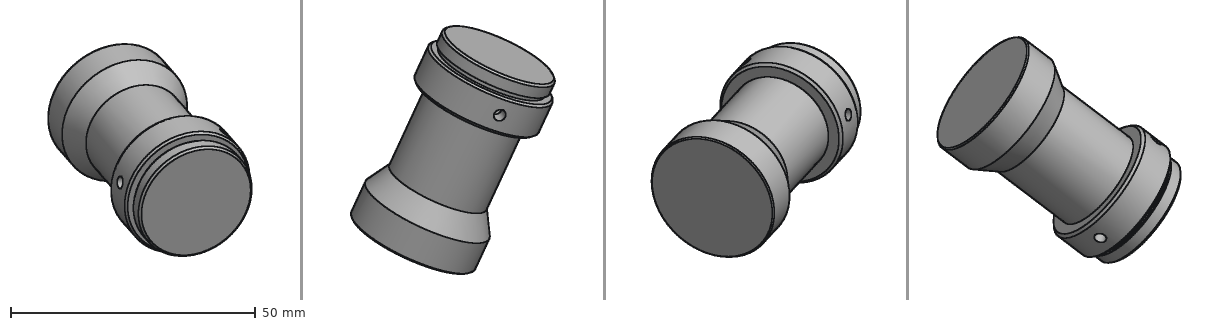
import cadquery as cq
import math

length = 43.8
outer_radius = 14.0
neck_radius = 11.0
flange_radius = 12.7
groove_radius = 12.0

head_end = 7.45
cone_end = 12.75
collar_start = 31.75
collar_end = 39.75
flange_start = 40.78

head_chamfer = 0.3
collar_front_chamfer = 0.6
edge_chamfer = 0.5

hole_position = 35.87
hole_diameter = 2.5
hole_count = 3
first_hole_angle = 45.0
hole_depth = 3.5
drill_point_angle = 118.0


def turned_body():
    """Revolve the half profile (axial position, radius) about the X axis."""
    profile = [
        (0, 0),
        (0, outer_radius - head_chamfer),
        (head_chamfer, outer_radius),
        (head_end, outer_radius),
        (cone_end, neck_radius),
        (collar_start, neck_radius),
        (collar_start, outer_radius - collar_front_chamfer),
        (collar_start + collar_front_chamfer, outer_radius),
        (collar_end - edge_chamfer, outer_radius),
        (collar_end, outer_radius - edge_chamfer),
        (collar_end, groove_radius),
        (flange_start, groove_radius),
        (flange_start, flange_radius),
        (length - edge_chamfer, flange_radius),
        (length, flange_radius - edge_chamfer),
        (length, 0),
    ]
    return cq.Workplane("XY").polyline(profile).close().revolve(360, (0, 0, 0), (1, 0, 0))


def hole_cutter(angle):
    """Drill with a conical point, aimed at the axis from the given angle about X."""
    hole_radius = hole_diameter / 2
    shoulder = outer_radius - hole_depth
    tip = shoulder - hole_radius / math.tan(math.radians(drill_point_angle / 2))
    drill_profile = [
        (hole_position, tip),
        (hole_position + hole_radius, shoulder),
        (hole_position + hole_radius, outer_radius + hole_radius),
        (hole_position, outer_radius + hole_radius),
    ]
    drill = (
        cq.Workplane("XY")
        .polyline(drill_profile)
        .close()
        .revolve(360, (hole_position, 0, 0), (hole_position, 1, 0))
    )
    return drill.rotate((0, 0, 0), (1, 0, 0), angle)


result = turned_body()
for index in range(hole_count):
    result = result.cut(hole_cutter(first_hole_angle + index * 360 / hole_count))